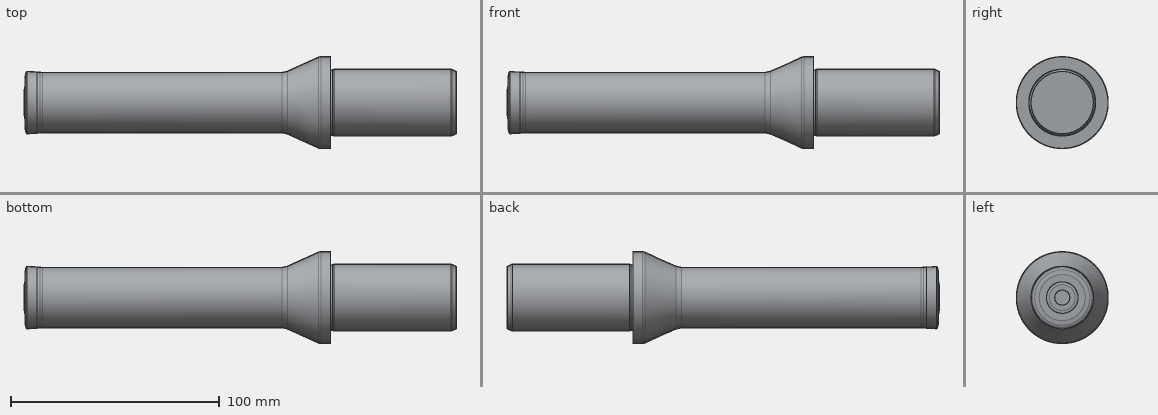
import cadquery as cq

total_length = 207.0
split_x = 6.2
cone_start_x = 124.8
cone_end_x = 141.5
flange_back_x = 146.8

head_back_diameter = 29.4
rim_diameter = 30.0
rim_x = 1.2
bevel_diameter = 28.5
bevel_x = 0.8
shoulder_diameter = 26.5
shoulder_x = 0.52
face_diameter = 22.1
face_x = 0.31
boss_diameter = 15.1
boss_bevel_x = 0.1
boss_top_diameter = 12.5
center_hole_diameter = 7.2
center_hole_depth = 0.31

neck_diameter = 29.0
seat_diameter = 29.2
seat_length = 1.2
seat_taper_length = 1.2
flange_diameter = 44.0
shank_diameter = 32.0
relief_diameter = 31.5
relief_length = 0.8
relief_taper_length = 0.8
neck_blend_radius = 6.2
flange_blend_radius = 3.1
shank_lead_in_length = 0.6
shank_lead_in_diameter = 31.7
shank_chamfer_length = 1.9
shank_end_diameter = 29.8


def revolve_about_x(outline):
    """Revolve a closed XY outline of (x, radius) points about the X axis."""
    return cq.Workplane("XY").polyline(outline).close().revolve(360, (0, 0, 0), (1, 0, 0))


def make_head():
    head = revolve_about_x([
        (0, 0),
        (0, boss_top_diameter / 2),
        (boss_bevel_x, boss_diameter / 2),
        (face_x, boss_diameter / 2),
        (face_x, face_diameter / 2),
        (shoulder_x, shoulder_diameter / 2),
        (bevel_x, bevel_diameter / 2),
        (rim_x, rim_diameter / 2),
        (split_x, head_back_diameter / 2),
        (split_x, 0),
    ])
    center_hole = cq.Workplane("YZ").circle(center_hole_diameter / 2).extrude(center_hole_depth)
    return head.cut(center_hole)


def blend_circle(body, x, diameter, radius):
    """Round the circular edge of the given diameter at station x."""
    margin = 0.2
    reach = diameter / 2 + margin
    around_edge = cq.selectors.BoxSelector(
        (x - margin, -reach, -reach), (x + margin, reach, reach), boundingbox=True)
    return body.edges(around_edge).fillet(radius)


def make_holder():
    seat_end_x = split_x + seat_length
    relief_end_x = flange_back_x + relief_length
    chamfer_start_x = total_length - shank_chamfer_length
    holder = revolve_about_x([
        (split_x, 0),
        (split_x, seat_diameter / 2),
        (seat_end_x, seat_diameter / 2),
        (seat_end_x + seat_taper_length, neck_diameter / 2),
        (cone_start_x, neck_diameter / 2),
        (cone_end_x, flange_diameter / 2),
        (flange_back_x, flange_diameter / 2),
        (flange_back_x, relief_diameter / 2),
        (relief_end_x, relief_diameter / 2),
        (relief_end_x + relief_taper_length, shank_diameter / 2),
        (chamfer_start_x - shank_lead_in_length, shank_diameter / 2),
        (chamfer_start_x, shank_lead_in_diameter / 2),
        (total_length, shank_end_diameter / 2),
        (total_length, 0),
    ])
    holder = blend_circle(holder, cone_start_x, neck_diameter, neck_blend_radius)
    return blend_circle(holder, cone_end_x, flange_diameter, flange_blend_radius)


head = make_head()
holder = make_holder()
result = cq.Compound.makeCompound([head.val(), holder.val()])